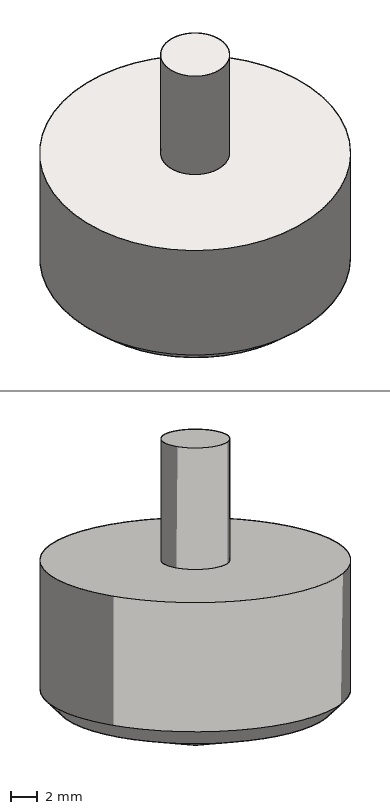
import cadquery as cq

total_height = 24.0
body_diameter = 23.4
pin_diameter = 5.2
pin_length = 9.5
body_height = 10.1
bevel_size = 1.3

body_radius = body_diameter / 2
pin_radius = pin_diameter / 2
cone_radius = body_radius - bevel_size
shoulder_z = total_height - pin_length
wall_bottom_z = shoulder_z - body_height
cone_base_z = wall_bottom_z - bevel_size


def half_profile():
    """Closed half section in the XZ plane, from the cone tip up to the pin top."""
    return (
        cq.Workplane("XZ")
        .moveTo(0, 0)
        .lineTo(cone_radius, cone_base_z)
        .lineTo(body_radius, wall_bottom_z)
        .lineTo(body_radius, shoulder_z)
        .lineTo(pin_radius, shoulder_z)
        .lineTo(pin_radius, total_height)
        .lineTo(0, total_height)
        .close()
    )


result = half_profile().revolve(360, (0, 0, 0), (0, 1, 0))